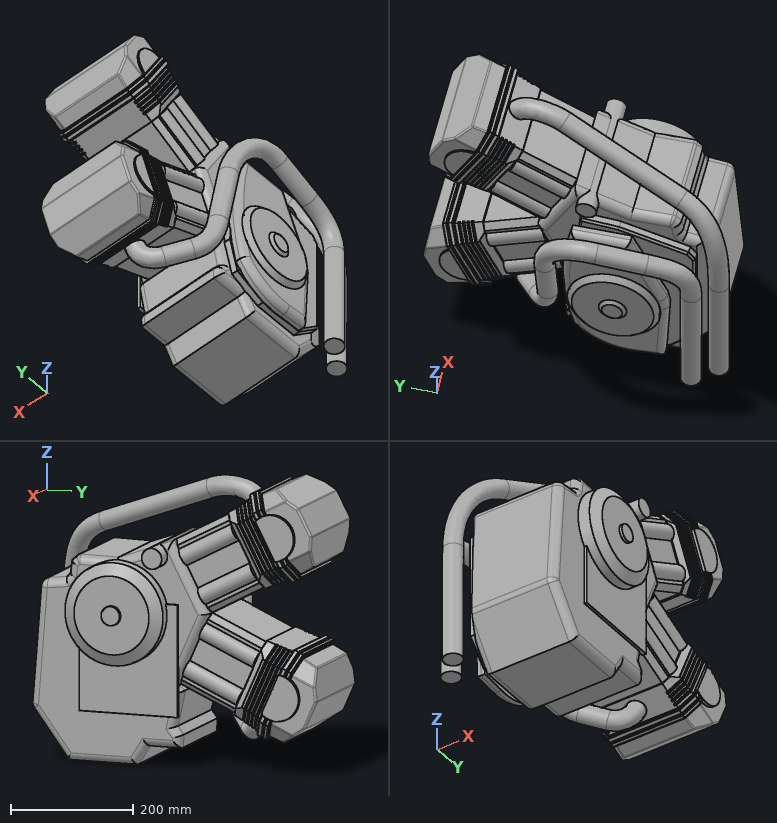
import cadquery as cq
import math


CRANK_Y, CRANK_Z = -15.5, 110.5
UPPER_ANGLE = 27.7
LOWER_ANGLE = -24.0

DECK = 139.0
HEAD_BASE = 242.0
FLANGE_START = HEAD_BASE + 49.0
FLANGE_SPLIT = FLANGE_START + 11.0
FLANGE_END = FLANGE_START + 20.5
CAP_SHOULDER = FLANGE_END + 27.5
CAP_END = FLANGE_END + 55.5

BARREL_HALF_X = 75.5
BARREL_HALF_DEPTH = 67.0
BARREL_CHAMFER = 10.5
STUD_DIAMETER = 32.0
STUD_X = 69.0
STUD_OFFSET = 35.5

HEAD_HALF_X, HEAD_HALF_DEPTH = 90.5, 74.5
HEAD_CUT_X, HEAD_CUT_DEPTH = 22.0, 28.0
HEAD_TAPER = 5.5
FLANGE_HALF_X, FLANGE_HALF_DEPTH = 94.5, 80.0
FLANGE_CUT_X, FLANGE_CUT_DEPTH = 23.5, 30.0
FLANGE_EDGE = 2.0
CAP_HALF_DEPTH = 73.5
CAP_SHOULDER_HALF = 71.0
CAP_END_HALF = 25.5
CAP_EDGE = 3.5
BASE_BEVEL_X, BASE_BEVEL_LENGTH = 8.5, 11.5
FIN_GROOVES = 4
FIN_PITCH = 8.0
FIN_GROOVE_WIDTH = 3.0
FIN_GROOVE_DEPTH = 3.5
FIRST_GROOVE = HEAD_BASE + 16.5
CAM_BOSS_RADIUS = 39.0
CAM_BOSS_AXIAL = HEAD_BASE + 61.5
CAM_BOSS_LEFT, CAM_BOSS_RIGHT = -93.5, 96.0

CASE_HALF_X = 90.5
CASE_EDGE = 14.5
FRONT_Y = -171.5
BOTTOM_Z = -143.5
FRONT_TOP_CORNER = (-155.0, 156.0)
FRONT_BOTTOM_CORNER = (FRONT_Y, -57.0)
STEP_CORNER = (-89.5, 200.0)
FRONT_ROUND = 15.5
STEP_ROUND = 8.0
PIN_DIAMETER = 35.0
PIN_Y, PIN_Z = 52.0, 208.5
PIN_LEFT, PIN_RIGHT = -106.0, 117.0
PLATE_LEFT = -106.0
PLATE_EDGE = 3.5
FRONT_BEVEL_X, FRONT_BEVEL_Y = 18.0, 41.5
RIGHT_PAD_END = 95.0
RIGHT_PAD_OVERLAP = 2.5
FLYWHEEL_RADIUS = 86.0
FLYWHEEL_END = 124.0
FLYWHEEL_BEVEL_X, FLYWHEEL_BEVEL_R = 11.5, 20.5
FLYWHEEL_HUB_DIAMETER = 32.0
FLYWHEEL_HUB_END = 129.5

COVER_LEFT = -127.5
COVER_EDGE = 13.0
DISC_DIAMETER = 156.5
DISC_FACE_DIAMETER = 138.0
DISC_LEFT = -137.0
CLUTCH_HUB_DIAMETER = 47.0
CLUTCH_HUB_FACE_DIAMETER = 35.0
CLUTCH_HUB_LEFT = -142.5

PIPE_DIAMETER = 35.0
PIPE_BEND_END_Z = 82.5
PIPE_BOTTOM_Z = -141.5


def cylinder_location(angle):
    """Frame on the crankshaft with local Z along a cylinder axis and local X along X."""
    tilt = math.radians(angle)
    plane = cq.Plane(
        origin=(0, CRANK_Y, CRANK_Z),
        xDir=(1, 0, 0),
        normal=(0, math.cos(tilt), math.sin(tilt)),
    )
    return cq.Location(plane)


def octagon(height, half_x, half_depth, cut_x, cut_depth):
    """Workplane at a given height holding a rectangle with its four corners cut off."""
    flat_x = half_x - cut_x
    flat_depth = half_depth - cut_depth
    corners = [
        (half_x, -flat_depth), (half_x, flat_depth), (flat_x, half_depth), (-flat_x, half_depth),
        (-half_x, flat_depth), (-half_x, -flat_depth), (-flat_x, -half_depth), (flat_x, -half_depth),
    ]
    return cq.Workplane("XY").workplane(offset=height).polyline(corners).close()


def make_barrel():
    """Cylinder between crankcase and head, with four stud tubes along its sides."""
    length = HEAD_BASE - DECK
    base = cq.Workplane("XY").workplane(offset=DECK)
    barrel = octagon(DECK, BARREL_HALF_X, BARREL_HALF_DEPTH, BARREL_CHAMFER, BARREL_CHAMFER).extrude(length)
    studs = base.rect(2 * STUD_X, 2 * STUD_OFFSET, forConstruction=True).vertices()
    return barrel.union(studs.circle(STUD_DIAMETER / 2).extrude(length))


def make_finned_block():
    """Tapered lower part of the head with side grooves and bevelled side edges at its base."""
    length = FLANGE_START - HEAD_BASE
    section = (HEAD_HALF_X, HEAD_HALF_DEPTH, HEAD_CUT_X, HEAD_CUT_DEPTH)
    block = octagon(FLANGE_START, *section).extrude(-length, taper=HEAD_TAPER)
    for index in range(FIN_GROOVES):
        height = FIRST_GROOVE + index * FIN_PITCH
        inset = FIN_GROOVE_DEPTH + (FLANGE_START - height) * math.tan(math.radians(HEAD_TAPER))
        core = octagon(height, HEAD_HALF_X - inset, HEAD_HALF_DEPTH, HEAD_CUT_X, HEAD_CUT_DEPTH)
        groove = octagon(height, FLANGE_HALF_X, FLANGE_HALF_DEPTH, FLANGE_CUT_X, FLANGE_CUT_DEPTH)
        block = block.cut(groove.extrude(FIN_GROOVE_WIDTH).cut(core.extrude(FIN_GROOVE_WIDTH)))
    base_half_x = HEAD_HALF_X - length * math.tan(math.radians(HEAD_TAPER))
    for side in (-1, 1):
        bevel = (
            cq.Workplane("XZ")
            .moveTo(side * (base_half_x - BASE_BEVEL_X), HEAD_BASE)
            .lineTo(side * HEAD_HALF_X, HEAD_BASE)
            .lineTo(side * HEAD_HALF_X, HEAD_BASE + BASE_BEVEL_LENGTH)
            .lineTo(side * base_half_x, HEAD_BASE + BASE_BEVEL_LENGTH)
            .close()
            .extrude(FLANGE_HALF_DEPTH, both=True)
        )
        block = block.cut(bevel)
    return block


def make_flange():
    """Double rim around the joint between finned block and cap."""
    section = (FLANGE_HALF_X, FLANGE_HALF_DEPTH, FLANGE_CUT_X, FLANGE_CUT_DEPTH)
    lower = octagon(FLANGE_START, *section).extrude(FLANGE_SPLIT - FLANGE_START)
    upper = octagon(FLANGE_SPLIT, *section).extrude(FLANGE_END - FLANGE_SPLIT)
    lower = lower.faces("<Z or >Z").chamfer(FLANGE_EDGE)
    upper = upper.faces("<Z or >Z").chamfer(FLANGE_EDGE)
    return lower.union(upper)


def make_cap():
    """Roof-shaped valve cap with cut corners."""
    outline = [
        (-CAP_HALF_DEPTH, FLANGE_END), (-CAP_SHOULDER_HALF, CAP_SHOULDER), (-CAP_END_HALF, CAP_END),
        (CAP_END_HALF, CAP_END), (CAP_SHOULDER_HALF, CAP_SHOULDER), (CAP_HALF_DEPTH, FLANGE_END),
    ]
    roof = cq.Workplane("YZ").polyline(outline).close().extrude(HEAD_HALF_X, both=True)
    prism = octagon(FLANGE_END, HEAD_HALF_X, CAP_HALF_DEPTH, HEAD_CUT_X, HEAD_CUT_DEPTH)
    cap = roof.intersect(prism.extrude(CAP_END - FLANGE_END))
    return cap.edges("not <Z").fillet(CAP_EDGE)


def make_cam_boss():
    """Round boss across the head, cut off flat at the start of the flange."""
    half_chord = math.sqrt(CAM_BOSS_RADIUS**2 - (CAM_BOSS_AXIAL - FLANGE_START) ** 2)
    return (
        cq.Workplane("YZ")
        .workplane(offset=CAM_BOSS_LEFT)
        .moveTo(-half_chord, FLANGE_START)
        .threePointArc((0, CAM_BOSS_AXIAL + CAM_BOSS_RADIUS), (half_chord, FLANGE_START))
        .close()
        .extrude(CAM_BOSS_RIGHT - CAM_BOSS_LEFT)
    )


def make_head():
    """Finned block, flange, cap and cam boss as one solid."""
    return make_finned_block().union(make_flange()).union(make_cap()).union(make_cam_boss())


def yz_prism(outline, left, right):
    """Prism with an outline in the YZ plane, from X = left to X = right."""
    return cq.Workplane("YZ").workplane(offset=left).polyline(outline).close().extrude(right - left)


def deck_point(angle, side):
    """Corner (Y, Z) of the crankcase deck of one cylinder."""
    tilt = math.radians(angle)
    y = CRANK_Y + DECK * math.cos(tilt) - side * BARREL_HALF_DEPTH * math.sin(tilt)
    z = CRANK_Z + DECK * math.sin(tilt) + side * BARREL_HALF_DEPTH * math.cos(tilt)
    return (y, z)


def make_case_block():
    """Main casting with rounded edges and a bevel on its front left edge."""
    outline = [
        deck_point(UPPER_ANGLE, 1), deck_point(UPPER_ANGLE, -1), deck_point(LOWER_ANGLE, -1),
        (95.0, -14.5), (82.0, -75.0), (92.5, -88.5), (91.0, -110.5), (34.0, -110.5), (13.0, BOTTOM_Z),
        (-107.0, BOTTOM_Z), FRONT_BOTTOM_CORNER, FRONT_TOP_CORNER, (-110.5, 161.0), (-104.5, 168.5),
        (-102.0, 189.5), STEP_CORNER, (-21.0, 199.0),
    ]
    block = yz_prism(outline, -CASE_HALF_X, CASE_HALF_X)
    rounds = (
        (FRONT_TOP_CORNER, FRONT_ROUND),
        (FRONT_BOTTOM_CORNER, FRONT_ROUND),
        (STEP_CORNER, STEP_ROUND),
    )
    for corner, radius in rounds:
        block = block.edges(cq.NearestToPointSelector((0, *corner))).fillet(radius)
    block = block.faces("<X or >X").edges().fillet(CASE_EDGE)
    bevel = (
        cq.Workplane("XY")
        .workplane(offset=BOTTOM_Z)
        .moveTo(-CASE_HALF_X, FRONT_Y + FRONT_BEVEL_Y)
        .lineTo(-CASE_HALF_X + FRONT_BEVEL_X, FRONT_Y)
        .lineTo(-CASE_HALF_X, FRONT_Y)
        .close()
        .extrude(PIN_Z - BOTTOM_Z)
    )
    return block.cut(bevel)


def make_crankcase():
    """Main casting with its left plate, mounting pin, right pad and flywheel housing."""
    plate_outline = [
        (62.5, 182.0), (-2.5, 176.5), (-119.5, 143.0), (-131.0, 127.5), (-131.0, -73.0), (-88.5, -114.5),
        (0.0, -114.5), (62.5, -88.5), (80.5, -26.0),
    ]
    plate = yz_prism(plate_outline, PLATE_LEFT, 0).faces("<X").chamfer(PLATE_EDGE)
    pin = (
        cq.Workplane("YZ")
        .workplane(offset=PIN_LEFT)
        .center(PIN_Y, PIN_Z)
        .circle(PIN_DIAMETER / 2)
        .extrude(PIN_RIGHT - PIN_LEFT)
    )
    pad_outline = [(88.5, -57), (-83, -57), (-83, 130), (88.5, 130)]
    right_pad = yz_prism(pad_outline, CASE_HALF_X - RIGHT_PAD_OVERLAP, RIGHT_PAD_END)
    flywheel = (
        cq.Workplane("YZ")
        .center(CRANK_Y, CRANK_Z)
        .circle(FLYWHEEL_RADIUS)
        .extrude(FLYWHEEL_END)
        .faces(">X")
        .chamfer(FLYWHEEL_BEVEL_X, FLYWHEEL_BEVEL_R)
    )
    hub = (
        cq.Workplane("YZ")
        .center(CRANK_Y, CRANK_Z)
        .circle(FLYWHEEL_HUB_DIAMETER / 2)
        .extrude(FLYWHEEL_HUB_END)
    )
    case = make_case_block()
    for feature in (plate, pin, right_pad, flywheel, hub):
        case = case.union(feature)
    return case


def cone_boss(base_diameter, face_diameter, base, face):
    """Truncated cone on the clutch axis, narrowing toward -X."""
    return cq.Workplane(
        cq.Solid.makeCone(
            base_diameter / 2, face_diameter / 2, base - face, cq.Vector(base, 0, 0), cq.Vector(-1, 0, 0)
        )
    )


def make_clutch_cover():
    """Rounded cover on the left plate, with a bevelled disc and hub on the clutch axis."""
    body = (
        cq.Workplane("YZ")
        .workplane(offset=COVER_LEFT)
        .moveTo(74.0, 163.5)
        .threePointArc((87.5, 26.0), (70.0, -75.5))
        .threePointArc((26.0, -112.0), (-36.5, -122.5))
        .lineTo(-83.5, -118.5)
        .lineTo(-90.0, 10.5)
        .lineTo(-86.0, 34.0)
        .lineTo(-25.5, 163.5)
        .close()
        .extrude(PLATE_LEFT - COVER_LEFT)
        .faces("<X")
        .edges()
        .fillet(COVER_EDGE)
    )
    disc = cone_boss(DISC_DIAMETER, DISC_FACE_DIAMETER, COVER_LEFT, DISC_LEFT)
    hub = cone_boss(CLUTCH_HUB_DIAMETER, CLUTCH_HUB_FACE_DIAMETER, DISC_LEFT, CLUTCH_HUB_LEFT)
    return body.union(disc).union(hub)


def straight(start, end):
    """Straight piece of a pipe centre line."""
    return cq.Edge.makeLine(cq.Vector(*start), cq.Vector(*end))


def bend(start, start_direction, end, end_direction):
    """Smooth curve with given end directions."""
    return cq.Edge.makeSpline(
        [cq.Vector(*start), cq.Vector(*end)],
        tangents=[cq.Vector(*start_direction), cq.Vector(*end_direction)],
    )


def direction(start, end):
    """Vector from one point to another."""
    return tuple(b - a for a, b in zip(start, end))


def make_pipe(points, first_heading):
    """Round pipe whose centre line alternates bends and straights, starting with a bend."""
    edges = []
    heading = first_heading
    for index in range(0, len(points) - 2, 2):
        start, bend_end, straight_end = points[index:index + 3]
        next_heading = direction(bend_end, straight_end)
        edges.append(bend(start, heading, bend_end, next_heading))
        edges.append(straight(bend_end, straight_end))
        heading = next_heading
    path = cq.Workplane(cq.Wire.assembleEdges(edges))
    mouth = cq.Plane(origin=points[0], normal=first_heading)
    return cq.Workplane(mouth).circle(PIPE_DIAMETER / 2).sweep(path)


def port_direction(angle, side):
    """Outward direction of a head's exhaust port, square to the cylinder axis."""
    tilt = math.radians(angle)
    return (0, -side * math.sin(tilt), side * math.cos(tilt))


def make_upper_pipe():
    """Exhaust pipe from the top of the upper head."""
    points = [
        (2.5, 193.5, 296.5), (-10.5, 110.0, 309.5), (-63.5, -98.0, 230.0),
        (-109.0, -171.5, PIPE_BEND_END_Z), (-109.0, -171.5, PIPE_BOTTOM_Z),
    ]
    return make_pipe(points, port_direction(UPPER_ANGLE, 1))


def make_lower_pipe():
    """Exhaust pipe from the underside of the lower head."""
    points = [
        (0, 198.5, -63.5), (-34.0, 168.0, -90.0), (-73.0, 139.5, -76.0), (-108.0, 115.5, -16.0),
        (-131.0, 115.5, 82.5), (-158.0, 24.0, 167.5), (-149.0, -58.5, 150.5),
        (-140.0, -132.0, PIPE_BEND_END_Z), (-140.0, -132.0, PIPE_BOTTOM_Z),
    ]
    return make_pipe(points, port_direction(LOWER_ANGLE, -1))


crankcase = make_crankcase()
clutch_cover = make_clutch_cover()
pipes = {UPPER_ANGLE: make_upper_pipe(), LOWER_ANGLE: make_lower_pipe()}

barrels = []
heads = []
for angle, pipe in pipes.items():
    location = cylinder_location(angle)
    barrels.append(make_barrel().val().moved(location))
    head = cq.Workplane(make_head().val().moved(location))
    heads.append(head.cut(pipe).val())

pipe_solids = [pipe.val() for pipe in pipes.values()]
result = cq.Compound.makeCompound(
    [crankcase.val(), clutch_cover.val(), *barrels, *heads, *pipe_solids]
)